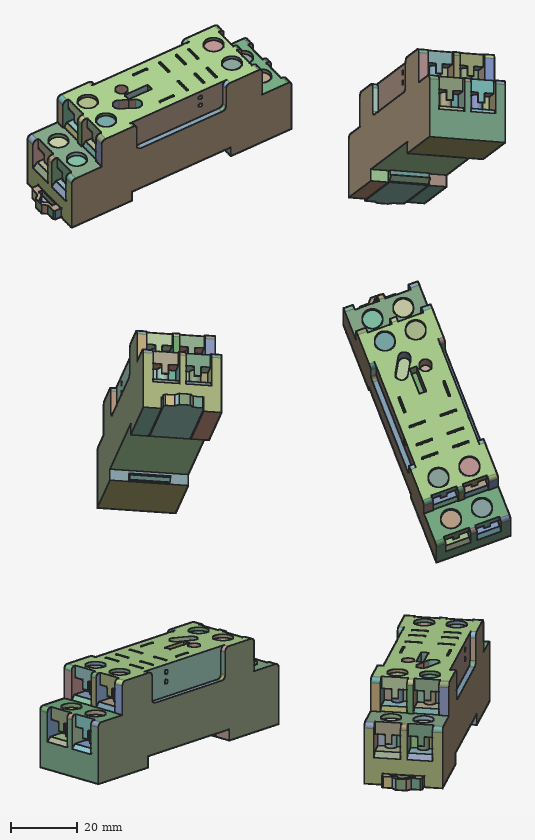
import cadquery as cq
import math

width = 24.0
length = 79.7
height = 30.0
shelf_height = 19.4
front_shelf_depth = 10.9
rear_shelf_depth = 10.6
front_edge_radius = 1.5
rear_edge_radius = 1.3

channel_front = 21.9
channel_rear = 57.7
channel_height = 3.6

hook_reach = 2.1
hook_bottom = 0.3
hook_top = 2.3
hook_tip_low = 1.3
hook_tip_high = 1.8
hook_shoulder = 0.8

terminal_columns = ((-4.9, 8.1), (5.0, 7.8))
screw_well_pitch = 10.6
lower_sill = 8.5
lower_floor = 10.1
upper_floor = 20.9
lower_sill_span = (0, 1.6)
upper_sill_span = (0.4, 1.4)
rear_terminal_shift = 0.25
mouth_overrun = 0.8
plate_setback = 2.0
plate_thickness = 0.5
window_height = 5.3
tab_drop = 3.0
tab_width = 2.0
tab_fillet = 0.5
screw_setback = 6.5
screw_shank_radius = 1.75
screw_well_radius = 3.1
lower_well_depth = 1.3
upper_well_depth = 1.1

recess_front = 23.7
recess_rear = 55.9
recess_bottom = 19.8
recess_depth = 1.75
recess_radius = 1.5
pinhole_radius = 0.7
pinhole_depth = 1.0
pinhole_y = 47.8
pinhole_heights = (24.5, 27.6)

vent_length = 5.0
vent_width = 0.5
vent_depth = 1.0
cross_vent_x = 5.0
cross_vent_rows = (44.9, 50.9, 55.4)
long_vent_x = 7.2
long_vent_y = 37.6
opening_depth = 6.7
window_slot_width = 2.25
window_slot_front = 27.9
window_slot_rear = 36.3
round_opening_radius = 1.9
round_opening_centre = (-3.8, 28.6)
oblong_start = (1.4, 24.25)
oblong_end = (3.9, 28.6)

clip_width = 12.4
clip_clearance = 0.25
clip_height = channel_height
clip_front = -2.5
clip_corner = 0.5
clip_rear = 22.65
overall_length = 83.6
nose_front = length - overall_length
nose_base_width = 5.8
nose_tip_width = 3.35
finger_depth = 2.1
finger_rear = -0.25
finger_front = -1.5
finger_width = 7.35
finger_nose_front = -3.3
finger_nose_base_width = 4.0
finger_nose_tip_width = 1.2
latch_tip_y = 23.9
latch_tip_z = 1.8
latch_top = 2.25
latch_bottom = 0.3


def box(x_range, y_range, z_range):
    """Axis-aligned block given by its limits on each axis."""
    size = [limits[1] - limits[0] for limits in (x_range, y_range, z_range)]
    return cq.Workplane("XY").box(*size, centered=False).translate((x_range[0], y_range[0], z_range[0]))


def side_prism(points, prism_width, centre_x=0.0):
    """Prism with a (Y, Z) outline, centred on centre_x along X."""
    start = centre_x - prism_width / 2
    return cq.Workplane("YZ").workplane(offset=start).polyline(points).close().extrude(prism_width)


def stepped_block():
    upper_front = front_shelf_depth
    upper_rear = length - rear_shelf_depth
    outline = [
        (0, 0), (channel_front, 0), (channel_front, channel_height),
        (channel_rear, channel_height), (channel_rear, 0), (length, 0),
        (length, shelf_height), (upper_rear, shelf_height), (upper_rear, height),
        (upper_front, height), (upper_front, shelf_height), (0, shelf_height),
    ]
    block = side_prism(outline, width)
    rounded_edges = (
        (0, shelf_height, front_edge_radius),
        (upper_front, height, front_edge_radius),
        (upper_rear, height, rear_edge_radius),
        (length, shelf_height, rear_edge_radius),
    )
    for y, z, radius in rounded_edges:
        block = block.edges(cq.selectors.NearestToPointSelector((0, y, z))).fillet(radius)
    return block


def wire_entry(centre_x, entry_width, face_y, sill, sill_span, floor, top):
    """Cavity of one terminal: open mouth, window under the T-shaped plate and space around the screw."""
    plate_y = face_y + plate_setback
    left = centre_x - entry_width / 2
    right = centre_x + entry_width / 2
    ledge = floor + window_height

    mouth = side_prism(
        [(face_y - mouth_overrun, sill), (face_y + sill_span[0], sill), (face_y + sill_span[1], floor),
         (plate_y, floor), (plate_y, top), (face_y - mouth_overrun, top)],
        entry_width, centre_x)
    chamber = box((left, right), (plate_y, face_y + screw_setback), (floor, ledge))

    tab = (
        cq.Workplane("XZ", origin=(centre_x, plate_y, ledge))
        .moveTo(-tab_width / 2 - tab_fillet, 0)
        .radiusArc((-tab_width / 2, -tab_fillet), tab_fillet)
        .lineTo(-tab_width / 2, -tab_drop)
        .lineTo(tab_width / 2, -tab_drop)
        .lineTo(tab_width / 2, -tab_fillet)
        .radiusArc((tab_width / 2 + tab_fillet, 0), tab_fillet)
        .close()
        .extrude(-plate_thickness)
    )
    shank = (
        cq.Workplane("XY", origin=(centre_x, face_y + screw_setback, floor))
        .circle(screw_shank_radius)
        .extrude(window_height)
    )
    return mouth.union(chamber.cut(tab).cut(shank))


def terminal_bank(shelf_depth):
    """Cutters for the four terminals of one end, for an end face on Y = 0 that looks toward -Y."""
    rows = (
        (0, lower_sill, lower_sill_span, lower_floor, shelf_height, lower_well_depth),
        (shelf_depth, shelf_height, upper_sill_span, upper_floor, height, upper_well_depth),
    )
    cutters = []
    for row, (face_y, sill, sill_span, floor, top, well_depth) in enumerate(rows):
        well_y = screw_setback + row * screw_well_pitch
        for centre_x, entry_width in terminal_columns:
            cutters.append(wire_entry(centre_x, entry_width, face_y, sill, sill_span, floor, top))
            well = cq.Workplane("XY", origin=(centre_x, well_y, top))
            cutters.append(well.circle(screw_well_radius).extrude(-well_depth))
    return cutters


def side_recess():
    """Cutter for the recess in the -X side, flared at the top and with two pinholes in its floor."""
    r = recess_radius
    outer = -width / 2
    pocket = (
        cq.Workplane("YZ", origin=(outer, 0, 0))
        .moveTo(recess_front - r, height)
        .radiusArc((recess_front, height - r), r)
        .lineTo(recess_front, recess_bottom + r)
        .radiusArc((recess_front + r, recess_bottom), -r)
        .lineTo(recess_rear - r, recess_bottom)
        .radiusArc((recess_rear, recess_bottom + r), -r)
        .lineTo(recess_rear, height - r)
        .radiusArc((recess_rear + r, height), r)
        .close()
        .extrude(recess_depth)
    )
    pinholes = (
        cq.Workplane("YZ", origin=(outer, 0, 0))
        .pushPoints([(pinhole_y, z) for z in pinhole_heights])
        .circle(pinhole_radius)
        .extrude(recess_depth + pinhole_depth)
    )
    return pocket.union(pinholes)


def vents():
    top = cq.Workplane("XY", origin=(0, 0, height))
    cross_points = [(x, y) for y in cross_vent_rows for x in (-cross_vent_x, cross_vent_x)]
    long_points = [(-long_vent_x, long_vent_y), (long_vent_x, long_vent_y)]
    cross = top.pushPoints(cross_points).rect(vent_length, vent_width).extrude(-vent_depth)
    lengthwise = top.pushPoints(long_points).rect(vent_width, vent_length).extrude(-vent_depth)
    return [cross, lengthwise]


def top_openings():
    """Rectangular, round and slanted oblong openings in the top face."""
    top = cq.Workplane("XY", origin=(0, 0, height))
    half = window_slot_width / 2
    rectangular = box((-half, half), (window_slot_front, window_slot_rear), (height - opening_depth, height))
    circular = top.center(*round_opening_centre).circle(round_opening_radius).extrude(-opening_depth)

    run = oblong_end[0] - oblong_start[0]
    rise = oblong_end[1] - oblong_start[1]
    oblong = (
        top.center((oblong_start[0] + oblong_end[0]) / 2, (oblong_start[1] + oblong_end[1]) / 2)
        .slot2D(math.hypot(run, rise) + 2 * round_opening_radius, 2 * round_opening_radius,
                math.degrees(math.atan2(rise, run)))
        .extrude(-opening_depth)
    )
    return [rectangular, circular, oblong]


def fixed_hook():
    tip = channel_rear - hook_reach
    shoulder = channel_rear - hook_shoulder
    outline = [
        (channel_rear, hook_bottom), (shoulder, hook_bottom), (tip, hook_tip_low),
        (tip, hook_tip_high), (shoulder, hook_top), (channel_rear, hook_top),
    ]
    return side_prism(outline, clip_width)


def make_housing():
    body = stepped_block()
    for cutter in terminal_bank(front_shelf_depth):
        body = body.cut(cutter)
    for cutter in terminal_bank(rear_shelf_depth):
        turned = cutter.rotate((0, 0, 0), (0, 0, 1), 180)
        body = body.cut(turned.translate((0, length + rear_terminal_shift, 0)))

    recess = side_recess()
    body = body.cut(recess).cut(recess.mirror("YZ"))
    for cutter in vents() + top_openings():
        body = body.cut(cutter)

    guide_half = clip_width / 2 + clip_clearance
    body = body.cut(box((-guide_half, guide_half), (0, channel_front), (0, clip_height)))
    return body.union(fixed_hook())


def nosed_outline(half_width, rear, front, nose_base, nose_tip, nose_y):
    """Plan outline of a bar whose front edge carries a tapered central nose."""
    right = [
        (half_width, rear), (half_width, front), (nose_base / 2, front), (nose_tip / 2, nose_y),
    ]
    left = [(-x, y) for x, y in reversed(right)]
    return cq.Workplane("XY").polyline(right + left).close()


def make_clip():
    """Sliding bar with a nosed finger grip at the front and a full-width rail latch at the rear."""
    half = clip_width / 2
    bar = nosed_outline(half, clip_rear, clip_front, nose_base_width, nose_tip_width, nose_front)
    bar = bar.extrude(clip_height)
    for x in (-half, half):
        corner = cq.selectors.NearestToPointSelector((x, clip_front, clip_height / 2))
        bar = bar.edges(corner).chamfer(clip_corner)

    finger_pocket = nosed_outline(finger_width / 2, finger_rear, finger_front, finger_nose_base_width,
                                  finger_nose_tip_width, finger_nose_front)
    finger_pocket = finger_pocket.extrude(finger_depth).translate((0, 0, clip_height - finger_depth))
    latch = side_prism(
        [(channel_front, latch_bottom), (latch_tip_y, latch_tip_z), (clip_rear, latch_top),
         (channel_front, latch_top)], clip_width)
    relief = side_prism(
        [(channel_front, 0), (channel_front, latch_bottom), (latch_tip_y, latch_tip_z), (latch_tip_y, 0)],
        clip_width)
    return bar.union(latch).cut(relief).cut(finger_pocket)


housing = make_housing()
clip = make_clip()
result = cq.Compound.makeCompound([housing.solids().val(), clip.solids().val()])